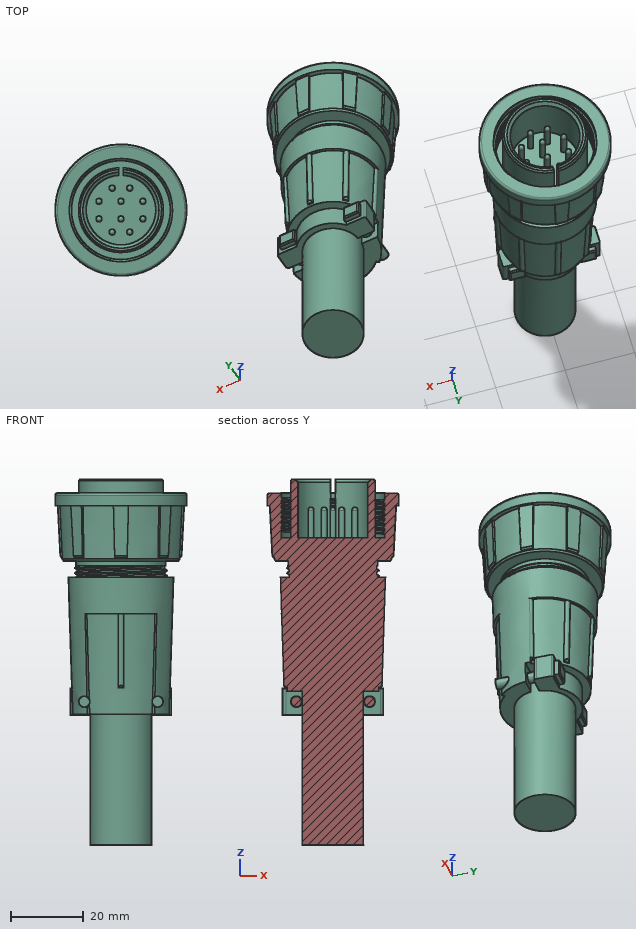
import cadquery as cq
import math

cable_radius = 8.5
cable_length = 45.6

overlap = 1.0
thread_half_base_share = 0.4
thread_sink = 0.1

body_bottom = 36.3
body_top = 74.2
body_top_radius = 14.6
body_bottom_radius = 13.4
panel_top = 64.1
panel_top_radius = 13.6
panel_bottom_radius = 12.5
front_panel_angle = 88.0
rib_radius = 0.8
rib_bottom = 43.6
rib_bottom_chamfer = 0.6
rib_angles = (0, 45, 90, 135, 180, 270)

jaw_face = -1.4
jaw_top = 42.6

clamp_top = 43.4
clamp_bottom = 36.0
clamp_half_width = 14.0
clamp_front = 1.0
clamp_back = 6.7
clamp_arch_radius = 10.3
clamp_front_fillet = 0.9
clamp_back_fillet = 0.5
screw_spacing = 20.3
screw_radius = 1.5
screw_z = 39.7
screw_tip = -10.7
nut_block_back = 8.3
nut_block_size = 4.8
nut_block_chamfer = 0.4

neck_radius = 12.5
thread_root_radius = 12.2
thread_crest_radius = 12.8
thread_top = 77.3
thread_pitch = 1.4

nut_bottom = 78.6
nut_bottom_radius = 15.9
nut_skirt_radius = 16.3
nut_top_radius = 17.0
nut_edge = 0.6
flange_radius = 18.2
flange_bottom = 94.0
flange_top = 97.5
flange_fillet = 0.6
nut_bore_radius = 14.3
nut_floor = 85.1
nut_thread_crest_radius = 13.7
nut_rib_count = 8
nut_rib_top_width = 4.2
nut_rib_bottom_width = 3.4
nut_rib_height = 0.5
nut_rib_bottom = 79.6

plug_top = 101.4
plug_radius = 11.8
plug_chamfer = 0.5
plug_bore_radius = 9.6
plug_bore_chamfer = 0.9
plug_floor = 85.1
keyway_width = 1.3
pin_radius = 0.8
pin_tip = 93.5
pin_near = 2.4
pin_far = 6.1


def revolved(points):
    """Solid of revolution about Z from (radius, z) points."""
    return cq.Workplane("XZ").polyline(points).close().revolve(360, (0, 0), (0, 1))


def cylinder(radius, bottom, top):
    return cq.Workplane("XY").workplane(offset=bottom).circle(radius).extrude(top - bottom)


def block(x_range, y_range, z_range):
    size = [high - low for low, high in (x_range, y_range, z_range)]
    corner = (x_range[0], y_range[0], z_range[0])
    return cq.Workplane("XY").box(*size, centered=False).translate(corner)


def helical_ridge(base_radius, crest_radius, bottom, top):
    """V-shaped thread ridge wound about Z; base and crest may face in or out."""
    helix = cq.Wire.makeHelix(thread_pitch, top - bottom, base_radius)
    half_base = thread_half_base_share * thread_pitch
    profile = (
        cq.Workplane("XZ")
        .polyline([(base_radius, -half_base), (crest_radius, 0), (base_radius, half_base)])
        .close()
    )
    return profile.sweep(cq.Workplane(helix), isFrenet=True).translate((0, 0, bottom))


def body_radius(z):
    taper = (body_top_radius - body_bottom_radius) / (body_top - body_bottom)
    return body_bottom_radius + taper * (z - body_bottom)


def make_body_rib():
    """Half-round rib on the +X side, following the body taper, with a sloped lower end."""
    bottom_radius = body_radius(rib_bottom)
    inner = panel_bottom_radius - overlap
    outer = body_top_radius + overlap
    axis_start = cq.Vector(body_radius(body_bottom) - rib_radius, 0, body_bottom)
    axis_end = cq.Vector(body_radius(body_top) - rib_radius, 0, body_top)
    axis = axis_end - axis_start
    bar = cq.Workplane(cq.Solid.makeCylinder(rib_radius, axis.Length, axis_start, axis))
    slope_rise = outer - bottom_radius + rib_bottom_chamfer
    envelope = (
        cq.Workplane("XZ")
        .polyline([
            (inner, rib_bottom), (bottom_radius - rib_bottom_chamfer, rib_bottom),
            (outer, rib_bottom + slope_rise), (outer, panel_top), (inner, panel_top),
        ]).close().extrude(2 * rib_radius, both=True)
    )
    return bar.intersect(envelope)


def make_body():
    body = revolved([
        (0, body_bottom), (body_bottom_radius, body_bottom),
        (body_top_radius, body_top), (0, body_top),
    ])

    recess = cylinder(2 * body_top_radius, body_bottom, panel_top).cut(revolved([
        (0, body_bottom), (panel_bottom_radius, body_bottom),
        (panel_top_radius, panel_top), (0, panel_top),
    ]))
    reach = 2 * body_top_radius
    wedge_length = 2 * reach
    half_spread = wedge_length * math.tan(math.radians(front_panel_angle / 2))
    front_wedge = (
        cq.Workplane("XY").workplane(offset=body_bottom)
        .polyline([(0, 0), (half_spread, -wedge_length), (-half_spread, -wedge_length)]).close()
        .extrude(panel_top - body_bottom)
    )
    back_half = block((-reach, reach), (0, reach), (body_bottom, panel_top))
    recess = recess.intersect(back_half.union(front_wedge))
    body = body.cut(recess)

    rib = make_body_rib()
    for angle in rib_angles:
        body = body.union(rib.rotate((0, 0, 0), (0, 0, 1), angle))

    return body.cut(block((-reach, reach), (jaw_face, reach), (body_bottom, jaw_top)))


def make_clamp():
    ears = (
        block((-clamp_half_width, clamp_half_width), (clamp_front, clamp_back), (clamp_bottom, clamp_top))
        .edges("|Z and <Y").fillet(clamp_front_fillet)
        .edges("|Z and >Y").fillet(clamp_back_fillet)
    )
    arch = cylinder(clamp_arch_radius, clamp_bottom, clamp_top).intersect(block(
        (-clamp_half_width, clamp_half_width), (clamp_front, clamp_half_width), (clamp_bottom, clamp_top)))
    clamp = ears.union(arch)
    for x in (-screw_spacing / 2, screw_spacing / 2):
        back_plane = cq.Workplane("XZ", origin=(x, nut_block_back, screw_z))
        shank = back_plane.circle(screw_radius).extrude(nut_block_back - screw_tip)
        nut_block = (
            back_plane.rect(nut_block_size, nut_block_size).extrude(nut_block_back - clamp_back + overlap)
            .faces(">Y").chamfer(nut_block_chamfer)
        )
        clamp = clamp.union(shank).union(nut_block)
    return clamp


def make_neck():
    neck = cylinder(neck_radius, thread_top, nut_bottom + overlap)
    root = cylinder(thread_root_radius, body_top - overlap, thread_top)
    ridge = helical_ridge(
        thread_root_radius - thread_sink, thread_crest_radius, body_top - overlap, thread_top)
    band = cylinder(2 * neck_radius, body_top - overlap, thread_top)
    return neck.union(root).union(ridge.intersect(band))


def make_nut():
    nut = revolved([
        (0, nut_bottom), (nut_bottom_radius, nut_bottom), (nut_skirt_radius, nut_bottom + nut_edge),
        (nut_top_radius, flange_bottom), (flange_radius, flange_bottom),
        (flange_radius, flange_top), (0, flange_top),
    ])
    nut = nut.faces(">Z").edges().fillet(flange_fillet)

    inner = nut_bottom_radius - overlap
    low_radius = nut_skirt_radius + nut_rib_height
    high_radius = nut_top_radius + nut_rib_height
    rib = (
        cq.Workplane("XZ")
        .polyline([
            (inner, nut_rib_bottom), (nut_skirt_radius, nut_rib_bottom),
            (low_radius, nut_rib_bottom + nut_rib_height),
            (high_radius, flange_bottom), (inner, flange_bottom),
        ]).close().extrude(nut_rib_top_width, both=True)
    )
    width_outline = [
        (-nut_rib_bottom_width / 2, nut_rib_bottom), (nut_rib_bottom_width / 2, nut_rib_bottom),
        (nut_rib_top_width / 2, flange_bottom), (-nut_rib_top_width / 2, flange_bottom),
    ]
    rib = rib.intersect(cq.Workplane("YZ").polyline(width_outline).close().extrude(flange_radius))
    for i in range(nut_rib_count):
        nut = nut.union(rib.rotate((0, 0, 0), (0, 0, 1), i * 360 / nut_rib_count))

    nut = nut.cut(cylinder(nut_bore_radius, nut_floor, flange_top))
    ridge = helical_ridge(
        nut_bore_radius + thread_sink, nut_thread_crest_radius,
        nut_floor + thread_pitch, flange_top - thread_pitch)
    return nut.union(ridge)


def make_plug():
    plug = revolved([
        (0, nut_floor - overlap), (plug_radius, nut_floor - overlap), (plug_radius, plug_top - plug_chamfer),
        (plug_radius - plug_chamfer, plug_top), (plug_bore_radius + plug_bore_chamfer, plug_top),
        (plug_bore_radius, plug_top - plug_bore_chamfer), (plug_bore_radius, plug_floor), (0, plug_floor),
    ])
    plug = plug.cut(block(
        (-keyway_width / 2, keyway_width / 2), (0, plug_radius + overlap), (plug_floor, plug_top)))

    pin_points = [(x, y) for x in (-pin_near, pin_near) for y in (-pin_far, pin_far)]
    pin_points += [(x, y) for x in (-pin_far, 0, pin_far) for y in (-pin_near, pin_near)]
    pin = cylinder(pin_radius, plug_floor - overlap, pin_tip - pin_radius)
    pin = pin.union(cq.Workplane("XY").sphere(pin_radius).translate((0, 0, pin_tip - pin_radius)))
    for x, y in pin_points:
        plug = plug.union(pin.translate((x, y, 0)))
    return plug


cable = cylinder(cable_radius, 0, cable_length)
result = make_body().union(make_clamp()).union(cable).union(make_neck()).union(make_nut()).union(make_plug())